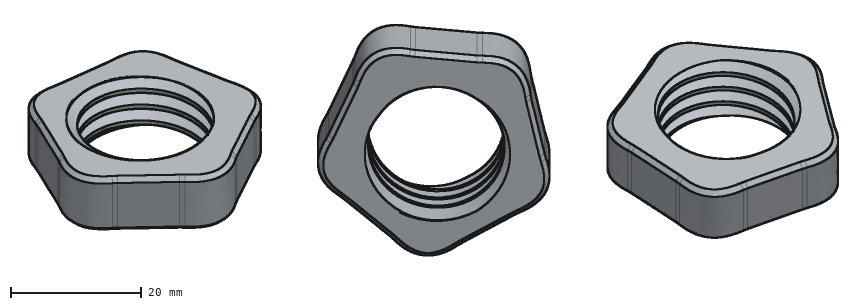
import cadquery as cq
import math

sides = 5
height = 10.0
flat_distance = 16.0
corner_reach = 18.47
flat_half_length = 5.2
blend_radius = 7.5
edge_chamfer = 0.8

bore_diameter = 21.0
root_diameter = 24.35
pitch = 3.0
flank_angle = 30.0
root_width = pitch / 10
root_angle_at_top = 210.0
groove_overlap = 0.3
run_out = pitch

side_angle = 360.0 / sides


def polar(radius, angle):
    """Point at a radius and an angle in degrees."""
    return (radius * math.cos(math.radians(angle)), radius * math.sin(math.radians(angle)))


def nut_body():
    """Five-sided prism with rounded corners that stand slightly proud of the flats."""
    flat_end_radius = math.hypot(flat_distance, flat_half_length)
    flat_end_angle = math.degrees(math.atan2(flat_half_length, flat_distance))

    outline = cq.Workplane("XY").moveTo(*polar(flat_end_radius, -flat_end_angle))
    for side in range(sides):
        middle = side * side_angle
        flat_end = polar(flat_end_radius, middle + flat_end_angle)
        corner_tip = polar(corner_reach, middle + side_angle / 2)
        next_flat_start = polar(flat_end_radius, middle + side_angle - flat_end_angle)
        outline = outline.lineTo(*flat_end)
        outline = outline.spline([corner_tip, next_flat_start], includeCurrent=True)

    body = outline.close().extrude(height)
    body = body.edges("|Z").fillet(blend_radius)
    return body.faces("<Z or >Z").chamfer(edge_chamfer)


def turned_to_thread_start(shape):
    """Turn a shape about the axis so that its X side faces the lower end of the thread."""
    turns_to_top = (height + run_out) / pitch
    start_angle = root_angle_at_top - 360.0 * turns_to_top
    return shape.rotate((0, 0, 0), (0, 0, 1), start_angle)


def bore():
    """Plain hole at the thread crests, its seam lined up with the start of the groove."""
    return turned_to_thread_start(cq.Workplane("XY").circle(bore_diameter / 2).extrude(height))


def thread_groove():
    """Right-handed groove with sloping flanks, running past both faces of the nut."""
    root_radius = root_diameter / 2
    inner_radius = bore_diameter / 2 - groove_overlap
    root_half = root_width / 2
    mouth_half = root_half + (root_radius - inner_radius) * math.tan(math.radians(flank_angle))

    helix = cq.Wire.makeHelix(pitch, height + 2 * run_out, bore_diameter / 2)
    groove = (
        cq.Workplane("XZ")
        .polyline([
            (inner_radius, -mouth_half),
            (root_radius, -root_half),
            (root_radius, root_half),
            (inner_radius, mouth_half),
        ])
        .close()
        .sweep(cq.Workplane(helix), isFrenet=True)
    )
    return turned_to_thread_start(groove).translate((0, 0, -run_out))


result = nut_body().cut(bore()).cut(thread_groove())